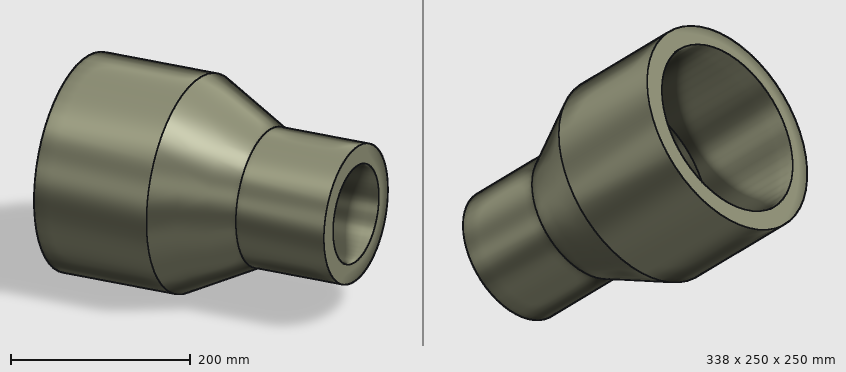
import cadquery as cq
import math

total_length = 338.0
large_length = 140.0
small_length = 109.5
large_outer_diameter = 250.0
large_bore_diameter = 204.5
small_outer_diameter = 160.0

wall = (large_outer_diameter - large_bore_diameter) / 2
small_bore_diameter = small_outer_diameter - 2 * wall
taper_length = total_length - large_length - small_length

taper_angle = math.atan2((large_outer_diameter - small_outer_diameter) / 2, taper_length)
bore_shift = wall * math.tan(taper_angle / 2)


def stepped_cone(large_diameter, small_diameter, taper_start):
    """Solid of revolution: large cylinder, taper, then small cylinder."""
    large_radius = large_diameter / 2
    small_radius = small_diameter / 2
    return (
        cq.Workplane("XY")
        .moveTo(0, 0)
        .lineTo(0, large_radius)
        .lineTo(taper_start, large_radius)
        .lineTo(taper_start + taper_length, small_radius)
        .lineTo(total_length, small_radius)
        .lineTo(total_length, 0)
        .close()
        .revolve(360, (0, 0, 0), (1, 0, 0))
    )


body = stepped_cone(large_outer_diameter, small_outer_diameter, large_length)
bore = stepped_cone(large_bore_diameter, small_bore_diameter, large_length - bore_shift)
result = body.cut(bore)